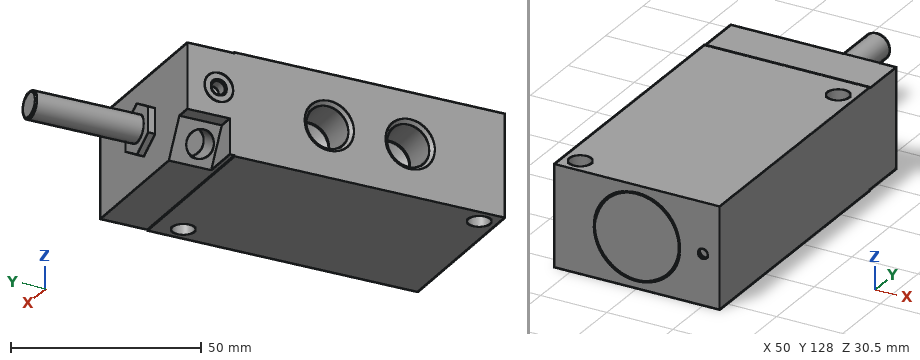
import cadquery as cq
import math

BODY_WIDTH = 50.0
BODY_LENGTH = 80.0
BODY_HEIGHT = 30.5

HEAD_HEIGHT = 30.0
HEAD_LENGTH = 14.0
HEAD_END = BODY_LENGTH + HEAD_LENGTH

ROOF_DEPTH = 4.6
SLOPE_ANGLE = 30
SLOPE_HEIGHT = 10.5
SLOPE_START = BODY_LENGTH + 1.4
SLOPE_HOLE_DIAMETER = 8.0
SLOPE_HOLE_DEPTH = 6.8
SLOPE_HOLE_Y = BODY_LENGTH + 6.3

NUT_ACROSS_FLATS = 13.0
NUT_THICKNESS = 2.0
HEXAGON_HALF_ANGLE = 30
ROD_DIAMETER = 8.0
ROD_END = 128
ROD_CHAMFER = 0.45

PORT_POSITIONS = (28.0, 52.0)
PORT_DIAMETER = 12.4
PORT_TIP_DIAMETER = 11.9
PORT_MOUTH_DIAMETER = 14.6
PORT_DEPTH = 12.0

DRILL_TIP_ANGLE = 118

SCREW_Y = BODY_LENGTH + 4.6
SCREW_Z = 4.0
SCREW_DIAMETER = 8.5
SCREW_RECESS = 0.1
SOCKET_DIAMETER = 4.0
SOCKET_MOUTH_DIAMETER = 5.0
SOCKET_DEPTH = 4.0

COVER_BORE_DIAMETER = 26.1
COVER_DIAMETER = 25.3
COVER_GAP_DEPTH = 0.5
VENT_DIAMETER = 3.0
VENT_DEPTH = 1.0

HOLE_OFFSET = 20.0
MOUNTING_HOLE_DIAMETER = 6.5
MOUNTING_HOLES = ((-HOLE_OFFSET, 5.0), (HOLE_OFFSET, 72.0))

SIDE_X = -BODY_WIDTH / 2


def block(width, height, start, end):
    """Box centred on x and z between two y positions."""
    size = end - start
    return cq.Workplane("XY").box(width, size, height).translate((0, start + size / 2, 0))


def cylinder(diameter, length, start, direction):
    solid = cq.Solid.makeCylinder(diameter / 2, length, cq.Vector(*start), cq.Vector(*direction))
    return cq.Workplane(solid)


def cone(start_diameter, end_diameter, length, start, direction):
    start_radius = start_diameter / 2
    end_radius = end_diameter / 2
    solid = cq.Solid.makeCone(start_radius, end_radius, length, cq.Vector(*start), cq.Vector(*direction))
    return cq.Workplane(solid)


def drilled_hole(mouth_diameter, diameter, tip_diameter, depth, y, z):
    """Blind hole from the -X side with a 45 degree mouth and a conical bottom."""
    inward = (1, 0, 0)
    start = (SIDE_X, y, z)
    mouth_depth = (mouth_diameter - diameter) / 2
    tip_length = tip_diameter / 2 / math.tan(math.radians(DRILL_TIP_ANGLE / 2))
    mouth = cone(mouth_diameter, diameter, mouth_depth, start, inward)
    bore = cylinder(diameter, depth, start, inward)
    tip = cone(tip_diameter, 0, tip_length, (SIDE_X + depth, y, z), inward)
    return mouth.union(bore).union(tip)


def sloped_undercut():
    """Undercut of the head, joined with the hole drilled square to its slope."""
    angle = math.radians(SLOPE_ANGLE)
    bottom = -HEAD_HEIGHT / 2
    roof = bottom + SLOPE_HEIGHT
    slope_top = SIDE_X + ROOF_DEPTH
    run = SLOPE_HEIGHT * math.tan(angle)
    undercut = (
        cq.Workplane("XZ", origin=(0, HEAD_END, 0))
        .polyline([(SIDE_X, bottom), (slope_top + run, bottom), (slope_top, roof), (SIDE_X, roof)])
        .close()
        .extrude(HEAD_END - SLOPE_START)
    )
    middle = (slope_top + run / 2, SLOPE_HOLE_Y, bottom + SLOPE_HEIGHT / 2)
    inward = (math.cos(angle), 0, math.sin(angle))
    return undercut.union(cylinder(SLOPE_HOLE_DIAMETER, SLOPE_HOLE_DEPTH, middle, inward))


def nut_and_rod():
    """Hexagon nut with flats facing -X and +X, and the rod through it."""
    nut = (
        cq.Workplane("XZ", origin=(0, HEAD_END, 0))
        .polygon(6, NUT_ACROSS_FLATS / math.cos(math.radians(HEXAGON_HALF_ANGLE)))
        .extrude(-NUT_THICKNESS)
        .rotate((0, 0, 0), (0, 1, 0), HEXAGON_HALF_ANGLE)
    )
    rod = cylinder(ROD_DIAMETER, ROD_END - HEAD_END, (0, HEAD_END, 0), (0, 1, 0))
    return nut.union(rod.faces(">Y").chamfer(ROD_CHAMFER))


def cover_gap():
    """Narrow ring-shaped groove around the flush cover."""
    bore = cylinder(COVER_BORE_DIAMETER, COVER_GAP_DEPTH, (0, 0, 0), (0, 1, 0))
    return bore.cut(cylinder(COVER_DIAMETER, COVER_GAP_DEPTH, (0, 0, 0), (0, 1, 0)))


body = block(BODY_WIDTH, BODY_HEIGHT, 0, BODY_LENGTH)
head = block(BODY_WIDTH, HEAD_HEIGHT, BODY_LENGTH, HEAD_END)
result = body.union(head.cut(sloped_undercut())).union(nut_and_rod())

for port_y in PORT_POSITIONS:
    port = drilled_hole(PORT_MOUTH_DIAMETER, PORT_DIAMETER, PORT_TIP_DIAMETER, PORT_DEPTH, port_y, 0)
    result = result.cut(port)

screw_face = cylinder(SCREW_DIAMETER, SCREW_RECESS, (SIDE_X, SCREW_Y, SCREW_Z), (1, 0, 0))
socket = drilled_hole(
    SOCKET_MOUTH_DIAMETER, SOCKET_DIAMETER, SOCKET_DIAMETER, SOCKET_DEPTH, SCREW_Y, SCREW_Z
)
result = result.cut(screw_face).cut(socket)

vent = cylinder(VENT_DIAMETER, VENT_DEPTH, (HOLE_OFFSET, 0, 0), (0, 1, 0))
result = result.cut(cover_gap()).cut(vent)

for hole_x, hole_y in MOUNTING_HOLES:
    base = (hole_x, hole_y, -BODY_HEIGHT / 2)
    result = result.cut(cylinder(MOUNTING_HOLE_DIAMETER, BODY_HEIGHT, base, (0, 0, 1)))